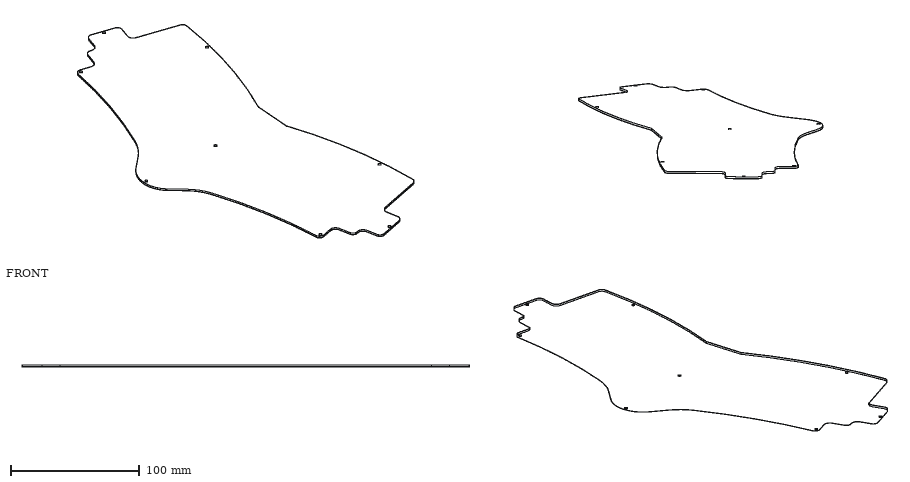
import cadquery as cq
import math


THICKNESS = 1.6
HOLE_DIAMETER = 2.2

WING_ANGLE = math.radians(15)
LOW_STEP_OUT = 134.55
MIDDLE_STEP_OUT = 153.75
TAB_OUT = 172.5
TAB_HEIGHT = 28.7
TAB_TOP = -4.4
TAB_BOTTOM = TAB_TOP - TAB_HEIGHT
MIDDLE_STEP_BOTTOM = -43.0

TOP_FLAT_HALF_WIDTH = 16.5
TOP_FLAT_Y = 52.4
TOP_ARC_MIDDLE = (-76.0, 71.5)
TOP_CORNER_HEIGHT = 42.4

BOTTOM_CORNER_HEIGHT = -61.6
BOTTOM_ARC_MIDDLE = (-93.0, -34.4)
TIP_SLOPE = math.radians(47.5)
TIP_Y = -80.53
TIP_RADIUS = 25.4
APEX_Y = TIP_Y - TIP_RADIUS * (1 / math.cos(TIP_SLOPE) - 1)
SHOULDER_X = -35.6
SHOULDER_Y = APEX_Y - SHOULDER_X * math.tan(TIP_SLOPE)

OUTER_CORNER_RADIUS = 4.0
INNER_CORNER_RADIUS = 5.0
SHOULDER_RADIUS = 45.0

CENTRE_HOLES = [(0, -6.4), (0, -77.9)]
WING_HOLES = [(-102.6, 74.0), (-169.7, 25.9), (-142.3, -21.6)]


def wing_point(outward, height):
    """Turn left-wing raked coordinates into X, Y."""
    x = -outward * math.cos(WING_ANGLE) + height * math.sin(WING_ANGLE)
    y = outward * math.sin(WING_ANGLE) + height * math.cos(WING_ANGLE)
    return (x, y)


def mirrored(point):
    return (-point[0], point[1])


TOP_CORNER = wing_point(MIDDLE_STEP_OUT, TOP_CORNER_HEIGHT)
TAB_TOP_INNER = wing_point(MIDDLE_STEP_OUT, TAB_TOP)
TAB_TOP_OUTER = wing_point(TAB_OUT, TAB_TOP)
TAB_BOTTOM_OUTER = wing_point(TAB_OUT, TAB_BOTTOM)
TAB_BOTTOM_INNER = wing_point(MIDDLE_STEP_OUT, TAB_BOTTOM)
STEP_OUTER = wing_point(MIDDLE_STEP_OUT, MIDDLE_STEP_BOTTOM)
STEP_INNER = wing_point(LOW_STEP_OUT, MIDDLE_STEP_BOTTOM)
BOTTOM_CORNER = wing_point(LOW_STEP_OUT, BOTTOM_CORNER_HEIGHT)
WING_END = [
    TOP_CORNER, TAB_TOP_INNER, TAB_TOP_OUTER, TAB_BOTTOM_OUTER,
    TAB_BOTTOM_INNER, STEP_OUTER, STEP_INNER, BOTTOM_CORNER,
]
INNER_CORNERS = [TAB_TOP_INNER, TAB_BOTTOM_INNER, STEP_INNER]
OUTER_CORNERS = [corner for corner in WING_END if corner not in INNER_CORNERS]

SHOULDER = (SHOULDER_X, SHOULDER_Y)
APEX = (0, APEX_Y)


def make_plate():
    """Plate with sharp corners, outlined down the left side and up the right."""
    outline = cq.Workplane("XY").moveTo(-TOP_FLAT_HALF_WIDTH, TOP_FLAT_Y)
    outline = outline.threePointArc(TOP_ARC_MIDDLE, TOP_CORNER)
    for corner in WING_END[1:]:
        outline = outline.lineTo(*corner)
    outline = outline.threePointArc(BOTTOM_ARC_MIDDLE, SHOULDER)
    outline = outline.lineTo(*APEX).lineTo(*mirrored(SHOULDER))
    outline = outline.threePointArc(mirrored(BOTTOM_ARC_MIDDLE), mirrored(BOTTOM_CORNER))
    for corner in reversed(WING_END[:-1]):
        outline = outline.lineTo(*mirrored(corner))
    outline = outline.threePointArc(mirrored(TOP_ARC_MIDDLE), (TOP_FLAT_HALF_WIDTH, TOP_FLAT_Y))
    return outline.close().extrude(THICKNESS)


def round_corner(plate, point, radius):
    """Round the upright edge standing at an outline point."""
    nearest = cq.selectors.NearestToPointSelector((*point, THICKNESS / 2))
    return plate.edges("|Z").edges(nearest).fillet(radius)


def round_pairs(plate, points, radius):
    """Round the given left-side corners and their mirror images."""
    for point in points:
        plate = round_corner(plate, point, radius)
        plate = round_corner(plate, mirrored(point), radius)
    return plate


def round_outline(plate):
    plate = round_pairs(plate, OUTER_CORNERS, OUTER_CORNER_RADIUS)
    plate = round_pairs(plate, INNER_CORNERS, INNER_CORNER_RADIUS)
    plate = round_pairs(plate, [SHOULDER], SHOULDER_RADIUS)
    return round_corner(plate, APEX, TIP_RADIUS)


def drill_holes(plate):
    centres = CENTRE_HOLES + WING_HOLES + [mirrored(hole) for hole in WING_HOLES]
    drills = cq.Workplane("XY").pushPoints(centres).circle(HOLE_DIAMETER / 2).extrude(THICKNESS)
    return plate.cut(drills)


result = drill_holes(round_outline(make_plate()))